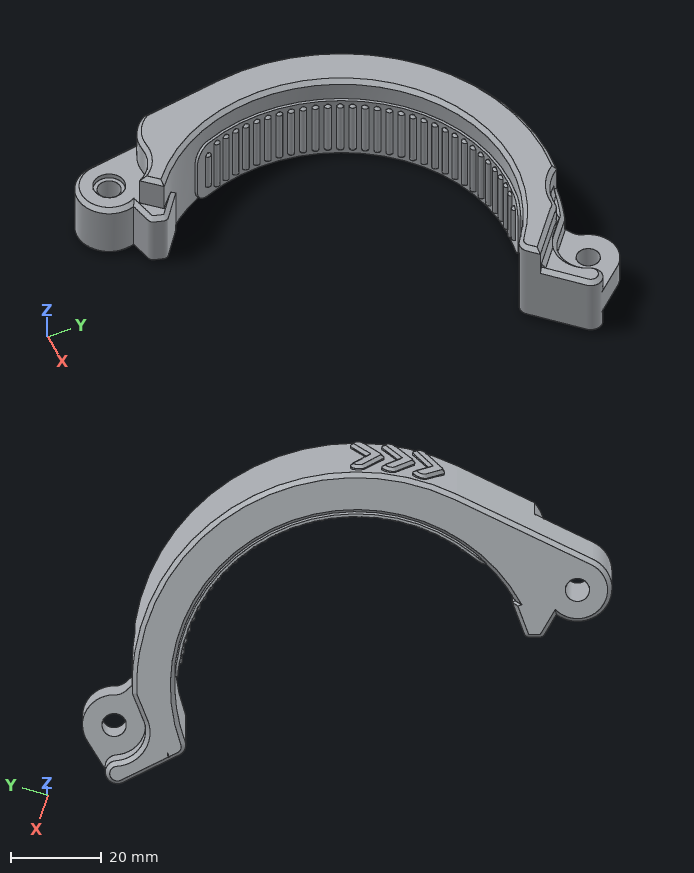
import cadquery as cq
import math

HEIGHT = 22.0
EDGE_CHAMFER = 1.0
RING_OUTER_R = 49.4
RING_INNER_R = 40.0
RING_MID_ANGLE = 140.0

LUG_CENTER = (-35.05, -40.42)
LUG_R = 7.63
LUG_HEIGHT = 14.0
LUG_CLEARANCE_R = 8.5
LUG_SHOULDER_R = 9.8
LUG_SHOULDER_ANGLE = 96.0
LUG_WALL_END_ANGLE = 28.0
RING_END_ANGLE = 233.6
PIN_HOLE_D = 5.3
COUNTERBORE_D = 7.2
COUNTERBORE_DEPTH = 1.2

LIP_ROOT_ANGLE = 225.0
LIP_START = (-28.0, -27.5)
LIP_TIP = (-21.0, -32.6)
LIP_HEEL = (-22.0, -36.3)
LIP_NOTCH_ANGLE = 21.0
LIP_TIP_R = 1.2
LIP_HEEL_R = 1.5

TAB_CENTER = (25.3, 48.2)
TAB_R = 7.0
TAB_BOTTOM = 5.0
TAB_TOP = 11.3
TAB_ROOT = [(15.4, 47.0), (16.2, 47.55), (17.4, 48.3), (18.4, 49.6)]
BLOCK_HEIGHT = 16.0
HORN_CENTER = (34.3, 44.81)
HORN_R = 2.7
END_FACE_ANGLE = 46.5
END_CORNER_R = 2.5
WALL_NORMAL_ANGLE = 52.3
WALL_DISTANCE = 45.4
WALL_STEP = 1.3
ROOT_BEVEL = 1.0

RECESS_START_ANGLE = 82.3
RECESS_START = (5.6, 50.2)
RECESS_MIDDLE = (10.8, 45.4)
RECESS_END = (16.0, 44.35)
RECESS_ROUND = (17.2, 44.1)
RECESS_WALL_X = 18.4

RIB_COUNT = 32
RIB_PITCH = 4.0
RIB_FIRST_ANGLE = 80.5
RIB_R = 0.8
RIB_TIP_RADIUS = 38.6
RIB_BOTTOM = 1.0
RIB_TOP = 15.5
RIB_POINT = 0.6
END_RIB_SHORTENING = 1.9
PAD_R = 39.35
PAD_TOP = 16.5
PAD_OVERHANG = 5.3
PAD_CORNER_R = 4.0
PAD_RISE = RING_INNER_R - PAD_R
PAD_BEVEL_LENGTH = 2.0

CHEVRON_COUNT = 3
CHEVRON_FIRST_ANGLE = 166.4
CHEVRON_PITCH = 8.0
CHEVRON_FACE = 50.35
CHEVRON_R = 1.75
CHEVRON_HALF_HEIGHT = 6.9
CHEVRON_DEPTH = 3.9
CHEVRON_CHAMFER = 0.7
EMBED = 2.0


def polar(radius, angle, center=(0.0, 0.0)):
    a = math.radians(angle)
    return (center[0] + radius * math.cos(a), center[1] + radius * math.sin(a))


def angle_of(point, center=(0.0, 0.0)):
    return math.degrees(math.atan2(point[1] - center[1], point[0] - center[0]))


def line_line(normal_a, dist_a, normal_b, dist_b):
    """Intersection of two lines given by normal angle and distance from the origin."""
    ax, ay = polar(1, normal_a)
    bx, by = polar(1, normal_b)
    det = ax * by - ay * bx
    return ((dist_a * by - dist_b * ay) / det, (ax * dist_b - bx * dist_a) / det)


def line_circle(normal, dist, center, radius, side):
    """Intersection of a line with a circle; side picks one of the two points."""
    nx, ny = polar(1, normal)
    offset = dist - (nx * center[0] + ny * center[1])
    half = side * math.sqrt(radius ** 2 - offset ** 2)
    return (center[0] + nx * offset - ny * half, center[1] + ny * offset + nx * half)


def tangent_normal(center_a, radius_a, center_b, radius_b, side):
    """Normal angle of the outer tangent line shared by two circles."""
    span = math.dist(center_a, center_b)
    lean = math.degrees(math.acos((radius_a - radius_b) / span))
    return angle_of(center_b, center_a) + side * lean


def slab(profile, bottom, top):
    return profile.close().extrude(top - bottom).translate((0, 0, bottom))


def chamfered(body):
    return body.faces("<Z or >Z").edges().chamfer(EDGE_CHAMFER)


side_normal = tangent_normal((0, 0), RING_OUTER_R, LUG_CENTER, LUG_R, -1) % 360
side_top = polar(RING_OUTER_R, side_normal)
side_bottom = polar(LUG_R, side_normal, LUG_CENTER)

end_normal = END_FACE_ANGLE - 90
horn_end = polar(HORN_R, end_normal, HORN_CENTER)
end_distance = horn_end[0] * polar(1, end_normal)[0] + horn_end[1] * polar(1, end_normal)[1]
end_inner = line_circle(end_normal, end_distance, (0, 0), RING_INNER_R, 1)
end_wall = line_line(end_normal, end_distance, WALL_NORMAL_ANGLE, WALL_DISTANCE)
wall_direction = polar(1, WALL_NORMAL_ANGLE)
recess_wall = (RECESS_WALL_X, (WALL_DISTANCE - RECESS_WALL_X * wall_direction[0]) / wall_direction[1])


def add_tab_wall(profile):
    """Continue a profile along the recess and the straight wall, up to the end face."""
    return (
        profile.lineTo(*RECESS_START)
        .threePointArc(RECESS_MIDDLE, RECESS_END)
        .threePointArc(RECESS_ROUND, recess_wall)
        .lineTo(*end_wall)
    )


def ring_envelope():
    """Outside of the ring: the outer circle continued by the flat side that runs to the lug."""
    beyond = EMBED + RING_OUTER_R
    return chamfered(slab(
        cq.Workplane("XY")
        .moveTo(*side_top)
        .threePointArc(polar(RING_OUTER_R, RING_MID_ANGLE), polar(RING_OUTER_R, 0))
        .lineTo(RING_OUTER_R, -beyond)
        .lineTo(*line_line(side_normal, RING_OUTER_R, -90, beyond)),
        0, HEIGHT,
    ))


def ring():
    """Full-height ring between its two end walls, without lug, lip, block and tab."""
    shoulder_center = polar(LUG_CLEARANCE_R + LUG_SHOULDER_R, LUG_SHOULDER_ANGLE, LUG_CENTER)
    shoulder_end = polar(LUG_CLEARANCE_R, LUG_SHOULDER_ANGLE, LUG_CENTER)
    shoulder_mid_angle = (side_normal + LUG_SHOULDER_ANGLE + 180) / 2
    lug_wall_mid_angle = (LUG_SHOULDER_ANGLE + LUG_WALL_END_ANGLE) / 2
    outside_r = RING_OUTER_R + 2 * EMBED
    outside = (
        cq.Workplane("XY")
        .moveTo(*polar(outside_r, side_normal))
        .threePointArc(polar(outside_r, RING_MID_ANGLE), polar(outside_r, RECESS_START_ANGLE))
    )
    body = slab(
        add_tab_wall(outside)
        .lineTo(*end_inner)
        .threePointArc(polar(RING_INNER_R, RING_MID_ANGLE), polar(RING_INNER_R, RING_END_ANGLE))
        .lineTo(*polar(LUG_CLEARANCE_R, LUG_WALL_END_ANGLE, LUG_CENTER))
        .threePointArc(polar(LUG_CLEARANCE_R, lug_wall_mid_angle, LUG_CENTER), shoulder_end)
        .threePointArc(
            polar(LUG_SHOULDER_R, shoulder_mid_angle, shoulder_center),
            polar(LUG_SHOULDER_R, side_normal, shoulder_center),
        ),
        0, HEIGHT,
    )
    corner = cq.selectors.NearestToPointSelector((*end_inner, HEIGHT / 2))
    body = chamfered(body.edges("|Z").edges(corner).fillet(END_CORNER_R))
    return body.intersect(ring_envelope())


def lug():
    """Hinge lug and lip, chamfered top and bottom; its upper part merges into the ring."""
    notch = polar(LUG_R, LIP_NOTCH_ANGLE, LUG_CENTER)
    lug_low = polar(LUG_R, (side_normal + LIP_NOTCH_ANGLE + 360) / 2, LUG_CENTER)
    lip_root = polar(RING_INNER_R + EMBED, LIP_ROOT_ANGLE)
    body = slab(
        cq.Workplane("XY")
        .moveTo(*side_top)
        .lineTo(*side_bottom)
        .threePointArc(lug_low, notch)
        .lineTo(*LIP_HEEL)
        .lineTo(*LIP_TIP)
        .lineTo(*LIP_START)
        .lineTo(*lip_root)
        .lineTo(*polar(RING_INNER_R + EMBED, side_normal)),
        0, LUG_HEIGHT,
    )
    for point, radius in ((LIP_HEEL, LIP_HEEL_R), (LIP_TIP, LIP_TIP_R)):
        corner = cq.selectors.NearestToPointSelector((*point, LUG_HEIGHT / 2))
        body = body.edges("|Z").edges(corner).fillet(radius)
    return chamfered(body)


def lug_hole():
    bore = cq.Workplane("XY").center(*LUG_CENTER).circle(PIN_HOLE_D / 2).extrude(HEIGHT)
    counterbore = (
        cq.Workplane("XY", origin=(0, 0, LUG_HEIGHT - COUNTERBORE_DEPTH))
        .center(*LUG_CENTER)
        .circle(COUNTERBORE_D / 2)
        .extrude(COUNTERBORE_DEPTH)
    )
    return bore.union(counterbore)


def block():
    """Block behind the tab; hollowed around the hinge axis and ending in a rounded horn."""
    clearance_r = math.dist(HORN_CENTER, TAB_CENTER) - HORN_R
    horn_angle = angle_of(HORN_CENTER, TAB_CENTER)
    hollow_start = polar(clearance_r, horn_angle, TAB_CENTER)
    step_distance = WALL_DISTANCE + WALL_STEP
    hollow_end = line_circle(WALL_NORMAL_ANGLE, step_distance, TAB_CENTER, clearance_r, -1)
    hollow_mid_angle = (angle_of(hollow_end, TAB_CENTER) + horn_angle) / 2
    outer_end = line_circle(WALL_NORMAL_ANGLE, step_distance, (0, 0), RING_OUTER_R, 1)
    horn_mid_angle = (end_normal + horn_angle + 180) / 2
    inner_r = RING_INNER_R + EMBED
    back_angle = RECESS_START_ANGLE + 10
    return chamfered(slab(
        cq.Workplane("XY")
        .moveTo(*line_circle(end_normal, end_distance, (0, 0), inner_r + EMBED, 1))
        .lineTo(*horn_end)
        .threePointArc(polar(HORN_R, horn_mid_angle, HORN_CENTER), hollow_start)
        .threePointArc(polar(clearance_r, hollow_mid_angle, TAB_CENTER), hollow_end)
        .lineTo(*outer_end)
        .threePointArc(polar(RING_OUTER_R, RECESS_START_ANGLE), polar(RING_OUTER_R, back_angle))
        .lineTo(*polar(inner_r, back_angle))
        .threePointArc(polar(inner_r, RECESS_START_ANGLE), polar(inner_r, 60)),
        0, BLOCK_HEIGHT,
    ))


def root_bevel(block_body):
    """45 degree slope that fills the corner between the tab wall and the block top."""
    middle = polar(RING_INNER_R + EMBED, RECESS_START_ANGLE)
    profile = cq.Workplane("XY", origin=(0, 0, BLOCK_HEIGHT + ROOT_BEVEL)).moveTo(*middle)
    slope = add_tab_wall(profile).close().extrude(-ROOT_BEVEL, taper=-45)
    over_block = block_body.faces(">Z").wires().toPending().extrude(ROOT_BEVEL)
    return slope.intersect(over_block)


def tab():
    edge_normal = tangent_normal(TAB_CENTER, TAB_R, HORN_CENTER, HORN_R, 1)
    body = slab(
        cq.Workplane("XY")
        .moveTo(*TAB_ROOT[0])
        .lineTo(*TAB_ROOT[1])
        .threePointArc(*TAB_ROOT[2:])
        .threePointArc(polar(TAB_R, 110, TAB_CENTER), polar(TAB_R, edge_normal, TAB_CENTER))
        .lineTo(*polar(HORN_R, edge_normal, HORN_CENTER))
        .lineTo(*HORN_CENTER)
        .lineTo(*end_wall),
        TAB_BOTTOM, TAB_TOP,
    )
    hole = cq.Workplane("XY").center(*TAB_CENTER).circle(PIN_HOLE_D / 2).extrude(HEIGHT)
    return body.cut(hole)


def grip_pad():
    """Raised pad on the inner wall with rounded corners and a bevelled rim."""
    first = RIB_FIRST_ANGLE - PAD_OVERHANG
    sweep = (RIB_COUNT - 1) * RIB_PITCH + 2 * PAD_OVERHANG
    body = (
        cq.Workplane("XZ")
        .moveTo(PAD_R, 0)
        .lineTo(RING_INNER_R + PAD_RISE, 0)
        .lineTo(RING_INNER_R + PAD_RISE, PAD_TOP)
        .lineTo(PAD_R, PAD_TOP)
        .close()
        .revolve(sweep, (0, 0, 0), (0, 1, 0))
    )
    body = body.rotate((0, 0, 0), (0, 0, 1), first)
    body = body.edges(cq.selectors.TypeSelector("LINE")).edges("#Z").fillet(PAD_CORNER_R)
    inner_face = cq.selectors.NearestToPointSelector((*polar(PAD_R, RING_MID_ANGLE), PAD_TOP / 2))
    return body.faces(inner_face).edges().chamfer(PAD_RISE, PAD_BEVEL_LENGTH)


def rib(number):
    """One upright grip rib with pointed ends; the two outermost ribs are shorter."""
    trim = END_RIB_SHORTENING if number in (0, RIB_COUNT - 1) else 0
    return (
        cq.Workplane("XY", origin=(0, 0, RIB_BOTTOM + trim))
        .center(*polar(RIB_TIP_RADIUS + RIB_R, RIB_FIRST_ANGLE + number * RIB_PITCH))
        .circle(RIB_R)
        .extrude(RIB_TOP - RIB_BOTTOM - 2 * trim)
        .faces("<Z or >Z")
        .edges()
        .chamfer(RIB_POINT)
    )


def chevron(angle):
    """V-shaped raised grip with its tip pointing toward the lug."""
    arms = None
    plane = cq.Plane(
        origin=(*polar(RING_OUTER_R - EMBED, angle), HEIGHT / 2),
        xDir=(*polar(1, angle + 90), 0),
        normal=(*polar(1, angle), 0),
    )
    length = math.hypot(CHEVRON_DEPTH, CHEVRON_HALF_HEIGHT)
    lean = math.degrees(math.atan2(CHEVRON_HALF_HEIGHT, CHEVRON_DEPTH))
    for side in (1, -1):
        arm = (
            cq.Workplane(plane)
            .center(0, side * CHEVRON_HALF_HEIGHT / 2)
            .transformed(rotate=(0, 0, -side * lean))
            .slot2D(length + 2 * CHEVRON_R, 2 * CHEVRON_R)
            .extrude(CHEVRON_FACE - RING_OUTER_R + EMBED)
        )
        arms = arm if arms is None else arms.union(arm)
    facing = cq.selectors.DirectionMinMaxSelector(plane.zDir, True)
    return arms.faces(facing).edges().chamfer(CHEVRON_CHAMFER)


carrier = block()
result = ring().union(lug()).union(carrier).union(root_bevel(carrier)).union(tab()).cut(lug_hole())
result = result.union(grip_pad())
for rib_number in range(RIB_COUNT):
    result = result.union(rib(rib_number))
for chevron_number in range(CHEVRON_COUNT):
    result = result.union(chevron(CHEVRON_FIRST_ANGLE + chevron_number * CHEVRON_PITCH))